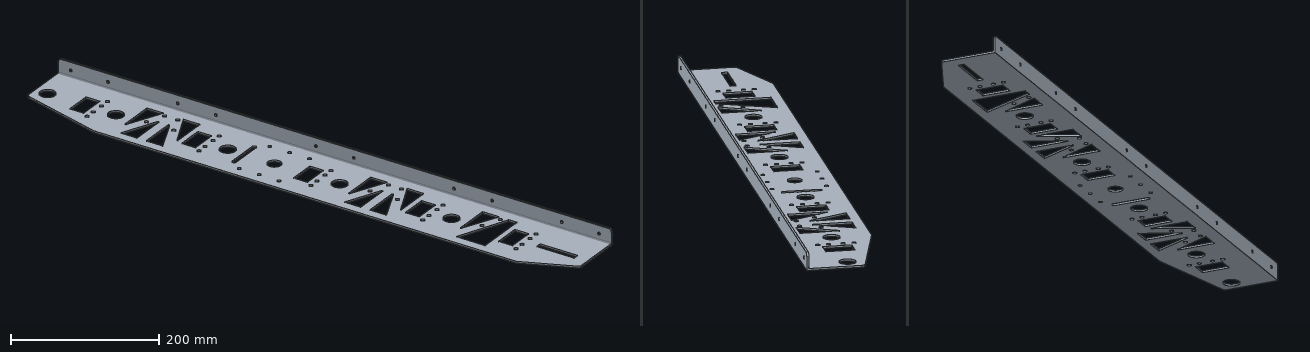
import cadquery as cq

LENGTH = 890.0
WIDTH = 115.0
HEIGHT = 25.0
THICKNESS = 3.0
BEND_RADIUS = 1.0
CORNER_RADIUS = 5.0

END_WIDTH = 80.0
LEFT_TAPER_LENGTH = 130.0
RIGHT_TAPER_LENGTH = 80.0

CENTRE_Y = -60.0

STATION_PITCH = 180.0
FIRST_STATION_X = 80.0
LAST_STATION_X = 770.0
REGULAR_STATION_COUNT = 4
STATIONS_X = [FIRST_STATION_X + i * STATION_PITCH for i in range(REGULAR_STATION_COUNT)] + [LAST_STATION_X]
WINDOW_LENGTH = 22.0
WINDOW_WIDTH = 40.0
COLUMN_OFFSET_X = 20.0
COLUMN_OFFSETS_Y = (-25.0, -10.0, 10.0, 25.0)
SCREW_DIAMETER = 5.5

LARGE_HOLE_DIAMETER = 23.0
LARGE_HOLE_OFFSET_X = 50.0
END_HOLE_X = 20.0

TRUSS_TOP_Y = -21.5
TRUSS_BOTTOM_Y = -100.0
FIRST_TRUSS_X = 197.5
TRUSS_CENTRES_X = (FIRST_TRUSS_X, FIRST_TRUSS_X + 2 * STATION_PITCH)
SINGLE_TRUSS_X = FIRST_TRUSS_X + 3 * STATION_PITCH
WEB_HALF_WIDTH = 7.5
OUTER_EDGE_OFFSET = 42.5
UPPER_TRIANGLE_LENGTH = 26.5
UPPER_TRIANGLE_WIDTH = 54.5
UPPER_TIP_LENGTH = 1.5
LOWER_TRIANGLE_LENGTH = 26.0
LOWER_TRIANGLE_WIDTH = 54.5
LOWER_TIP_LENGTH = 2.0
STRUT_HOLES = ((-10.5, -27.0), (-22.0, -54.5))
SINGLE_FAR_EDGE_OFFSET = 12.5
SINGLE_FAR_TOP_OFFSET = -0.5

MOUNT_X = 385.0
MOUNT_BORE_DIAMETER = 20.0
MOUNT_PITCH_X = 32.0
MOUNT_PITCH_Y = 75.0
MOUNT_COLUMNS = 3
MOUNT_ROWS = 2
MOUNT_SCREW_DIAMETER = 5.0

CROSS_SLOT_X = 336.5
CROSS_SLOT_LENGTH = 56.0
CROSS_SLOT_WIDTH = 6.0
END_SLOT_X = 840.0
END_SLOT_LENGTH = 60.0
END_SLOT_WIDTH = 8.5

FLANGE_HOLE_OFFSETS = (30.5, 191.5, 253.0, 365.0, 425.0)
FLANGE_HOLE_Z = HEIGHT / 2
FLANGE_HOLE_DIAMETER = 4.0


def make_plate():
    outline = [
        (0, 0),
        (LENGTH, 0),
        (LENGTH, -END_WIDTH),
        (LENGTH - RIGHT_TAPER_LENGTH, -WIDTH),
        (LEFT_TAPER_LENGTH, -WIDTH),
        (0, -END_WIDTH),
    ]
    plate = cq.Workplane("XY").polyline(outline).close().extrude(THICKNESS)
    taper_corners = cq.selectors.BoxSelector(
        (-THICKNESS, -WIDTH - THICKNESS, 0),
        (LENGTH + THICKNESS, -END_WIDTH / 2, THICKNESS),
    )
    return plate.edges("|Z").edges(taper_corners).fillet(CORNER_RADIUS)


def make_flange():
    flange = cq.Workplane("XY").box(LENGTH, THICKNESS, HEIGHT, centered=False).translate((0, -THICKNESS, 0))
    return flange.edges("|Y and >Z").fillet(CORNER_RADIUS)


def join_at_bend(plate, flange):
    inner_corner = cq.selectors.NearestToPointSelector((LENGTH / 2, -THICKNESS, THICKNESS))
    return plate.union(flange).edges(inner_corner).fillet(BEND_RADIUS)


def plate_holes(points, diameter):
    return cq.Workplane("XY").pushPoints(points).circle(diameter / 2).extrude(THICKNESS)


def plate_cutout(points):
    return cq.Workplane("XY").polyline(points).close().extrude(THICKNESS)


def mirrored_points(points, centre_x, side):
    """Place (offset, y) points to the left (side = 1) or right (side = -1) of centre_x."""
    return [(centre_x + side * offset, y) for offset, y in points]


def upper_triangle(centre_x, side):
    tip_y = TRUSS_TOP_Y - UPPER_TRIANGLE_WIDTH
    outer = -OUTER_EDGE_OFFSET
    points = [
        (outer, TRUSS_TOP_Y),
        (outer + UPPER_TRIANGLE_LENGTH, TRUSS_TOP_Y),
        (outer + UPPER_TIP_LENGTH, tip_y),
        (outer, tip_y),
    ]
    return plate_cutout(mirrored_points(points, centre_x, side))


def lower_triangle(centre_x, side):
    tip_y = TRUSS_BOTTOM_Y + LOWER_TRIANGLE_WIDTH
    inner = -WEB_HALF_WIDTH
    points = [
        (inner, TRUSS_BOTTOM_Y),
        (inner - LOWER_TRIANGLE_LENGTH, TRUSS_BOTTOM_Y),
        (inner - LOWER_TIP_LENGTH, tip_y),
        (inner, tip_y),
    ]
    return plate_cutout(mirrored_points(points, centre_x, side))


def strut_holes(centre_x, side):
    return plate_holes(mirrored_points(STRUT_HOLES, centre_x, side), SCREW_DIAMETER)


def single_truss_opening():
    """Full-height opening to the right of the last strut."""
    lower_left = -WEB_HALF_WIDTH - LOWER_TRIANGLE_LENGTH
    points = [
        (lower_left, TRUSS_BOTTOM_Y),
        (SINGLE_FAR_EDGE_OFFSET, TRUSS_BOTTOM_Y),
        (SINGLE_FAR_EDGE_OFFSET, TRUSS_TOP_Y),
        (SINGLE_FAR_TOP_OFFSET, TRUSS_TOP_Y),
    ]
    return plate_cutout(mirrored_points(points, SINGLE_TRUSS_X, 1))


def cut_stations(body):
    for x in STATIONS_X:
        window = cq.Workplane("XY").center(x, CENTRE_Y).rect(WINDOW_LENGTH, WINDOW_WIDTH).extrude(THICKNESS)
        column = [(x + COLUMN_OFFSET_X, CENTRE_Y + dy) for dy in COLUMN_OFFSETS_Y]
        body = body.cut(window).cut(plate_holes(column, SCREW_DIAMETER))
    return body


def cut_large_holes(body):
    points = [(x + LARGE_HOLE_OFFSET_X, CENTRE_Y) for x in STATIONS_X[:REGULAR_STATION_COUNT]]
    points.append((END_HOLE_X, CENTRE_Y))
    return body.cut(plate_holes(points, LARGE_HOLE_DIAMETER))


def cut_trusses(body):
    for centre_x in TRUSS_CENTRES_X:
        for side in (1, -1):
            body = body.cut(upper_triangle(centre_x, side))
            body = body.cut(lower_triangle(centre_x, side))
            body = body.cut(strut_holes(centre_x, side))
    body = body.cut(upper_triangle(SINGLE_TRUSS_X, 1))
    body = body.cut(strut_holes(SINGLE_TRUSS_X, 1))
    return body.cut(single_truss_opening())


def cut_mount(body):
    screws = (
        cq.Workplane("XY")
        .center(MOUNT_X, CENTRE_Y)
        .rarray(MOUNT_PITCH_X, MOUNT_PITCH_Y, MOUNT_COLUMNS, MOUNT_ROWS)
        .circle(MOUNT_SCREW_DIAMETER / 2)
        .extrude(THICKNESS)
    )
    return body.cut(screws).cut(plate_holes([(MOUNT_X, CENTRE_Y)], MOUNT_BORE_DIAMETER))


def cut_slots(body):
    cross_slot = (
        cq.Workplane("XY")
        .center(CROSS_SLOT_X, CENTRE_Y)
        .slot2D(CROSS_SLOT_LENGTH, CROSS_SLOT_WIDTH, 90)
        .extrude(THICKNESS)
    )
    end_slot = (
        cq.Workplane("XY")
        .center(END_SLOT_X, CENTRE_Y)
        .rect(END_SLOT_LENGTH, END_SLOT_WIDTH)
        .extrude(THICKNESS)
    )
    return body.cut(cross_slot).cut(end_slot)


def cut_flange_holes(body):
    middle = LENGTH / 2
    points = [(middle + side * offset, FLANGE_HOLE_Z) for offset in FLANGE_HOLE_OFFSETS for side in (-1, 1)]
    holes = cq.Workplane("XZ").pushPoints(points).circle(FLANGE_HOLE_DIAMETER / 2).extrude(THICKNESS)
    return body.cut(holes)


result = join_at_bend(make_plate(), make_flange())
result = cut_stations(result)
result = cut_large_holes(result)
result = cut_trusses(result)
result = cut_mount(result)
result = cut_slots(result)
result = cut_flange_holes(result)